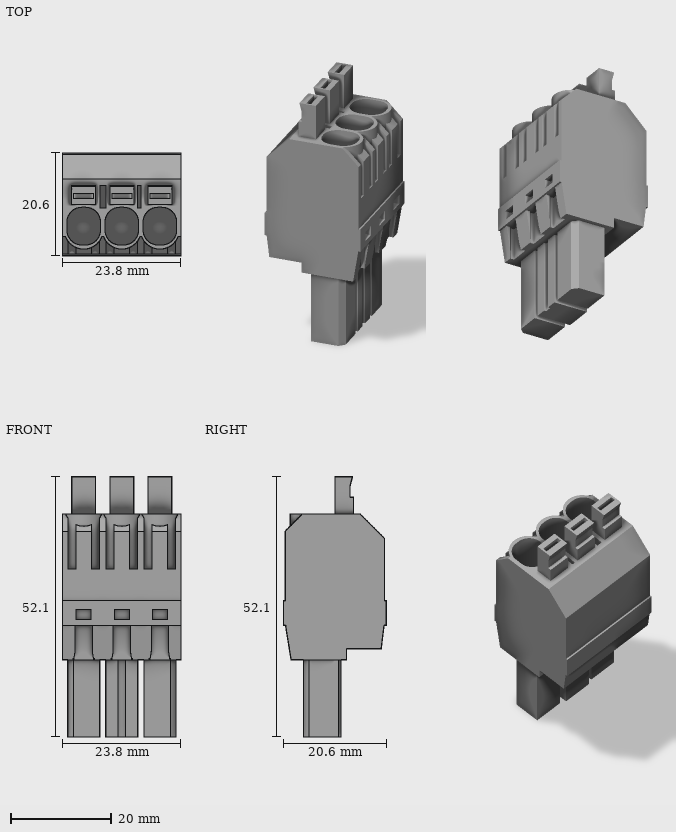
import cadquery as cq


pole_count = 3
pitch = 7.62
pole_xs = [(i - (pole_count - 1) / 2) * pitch for i in range(pole_count)]

prong_length = 15.45
rear_step_z = 17.65
band_bottom_z = 22.35
band_top_z = 27.3
housing_top_z = 44.67
lever_top_z = 52.11

housing_width = 23.76
band_half_depth = 10.3
body_half_depth = 9.95
skirt_top_half_depth = 9.87
skirt_front_y = -8.75
skirt_rear_y = 9.3
rear_step_y = 2.37
front_chamfer = 3.5
rear_chamfer = 4.93

entry_y = -4.35
entry_width = 6.73
entry_length = 7.55
entry_corner_radius = 3.0
entry_depth = 15.0
collar_radius = 3.89
collar_y = -5.06
flute_bottom_z = 33.65
flute_outer_half = 3.13
flute_inner_half = 1.53

window_width = 3.0
window_height = 2.0
window_depth = 1.4
window_center_z = 24.5

recess_floor_y = -7.85
recess_half_width = 1.72
recess_mouth_rear_y = -9.03
recess_undercut = 0.45

top_slot_front_y = -0.75
top_slot_rear_y = 3.75
top_slot_depth = 3.0
left_slot_x = (-4.37, -3.17)
right_slot_x = (3.17, 3.87)

prong_width = 6.45
prong_front_y = -6.3
outer_prong_rear_y = 0.75
middle_prong_rear_y = 1.27
prong_chamfer = 1.15
groove_width = 1.5
groove_depth = 0.5

lever_width = 4.8
lever_front_y = 0.0
lever_rear_y = 3.75
lever_tip_rear_y = 3.57
lever_neck_y = 3.05
lever_notch_bottom_z = 48.0
lever_neck_top_z = 50.15
driver_slot_width = 4.0
driver_slot_thickness = 1.0
driver_slot_y = 1.72
driver_slot_depth = 1.5


def box(x0, x1, y0, y1, z0, z1):
    """Box between two opposite corners."""
    return cq.Workplane("XY").box(x1 - x0, y1 - y0, z1 - z0, centered=False).translate((x0, y0, z0))


def make_shell():
    """Housing side outline extruded over the full width."""
    outline = [
        (skirt_front_y, prong_length),
        (-skirt_top_half_depth, band_bottom_z),
        (-band_half_depth, band_bottom_z),
        (-band_half_depth, band_top_z),
        (-body_half_depth, band_top_z),
        (-body_half_depth, housing_top_z - front_chamfer),
        (-body_half_depth + front_chamfer, housing_top_z),
        (body_half_depth - rear_chamfer, housing_top_z),
        (body_half_depth, housing_top_z - rear_chamfer),
        (body_half_depth, band_top_z),
        (band_half_depth, band_top_z),
        (band_half_depth, band_bottom_z),
        (skirt_top_half_depth, band_bottom_z),
        (skirt_rear_y, rear_step_z),
        (rear_step_y, rear_step_z),
        (rear_step_y, prong_length),
    ]
    return cq.Workplane("YZ").polyline(outline).close().extrude(housing_width / 2, both=True)


def make_collar(x):
    """Round wall around a wire entry, standing proud of the front chamfer."""
    height = housing_top_z - flute_bottom_z
    return (
        cq.Workplane("XY", origin=(x, collar_y, flute_bottom_z))
        .circle(collar_radius)
        .extrude(height)
    )


def make_flutes(x):
    """Pair of vertical flutes beside the middle rib, reaching back into the collar's place."""
    left = box(
        x - flute_outer_half,
        x - flute_inner_half,
        -body_half_depth,
        collar_y,
        flute_bottom_z,
        housing_top_z,
    )
    return left.union(left.mirror("YZ", (x, 0, 0)))


def make_entry(x):
    """Blind rounded wire hole."""
    return (
        cq.Workplane("XY", origin=(x, entry_y, housing_top_z - entry_depth))
        .rect(entry_width, entry_length)
        .extrude(entry_depth)
        .edges("|Z")
        .fillet(entry_corner_radius)
    )


def make_window(x):
    """Rectangular test pocket in the front of the band."""
    return box(
        x - window_width / 2,
        x + window_width / 2,
        -band_half_depth,
        -band_half_depth + window_depth,
        window_center_z - window_height / 2,
        window_center_z + window_height / 2,
    )


def make_skirt_recess(x):
    """Upright flat-floored recess in the skirt, undercut at 45 degrees behind a narrower mouth."""
    inner_half = recess_half_width + recess_undercut
    undercut_y = recess_mouth_rear_y + recess_undercut
    outline = [
        (-recess_half_width, -band_half_depth),
        (recess_half_width, -band_half_depth),
        (recess_half_width, recess_mouth_rear_y),
        (inner_half, undercut_y),
        (inner_half, recess_floor_y),
        (-inner_half, recess_floor_y),
        (-inner_half, undercut_y),
        (-recess_half_width, recess_mouth_rear_y),
    ]
    return (
        cq.Workplane("XY", origin=(x, 0, prong_length))
        .polyline(outline)
        .close()
        .extrude(band_bottom_z - prong_length)
    )


def make_prong(x):
    """Plug prong: outer ones have a chamfered outer corner, the middle one a front groove."""
    is_middle = x == 0
    rear_y = middle_prong_rear_y if is_middle else outer_prong_rear_y
    prong = box(x - prong_width / 2, x + prong_width / 2, prong_front_y, rear_y, 0, prong_length)
    if is_middle:
        groove = box(
            x - groove_width / 2,
            x + groove_width / 2,
            prong_front_y,
            prong_front_y + groove_depth,
            0,
            prong_length,
        )
        return prong.cut(groove)
    outer_side = "<X" if x < 0 else ">X"
    return prong.faces(outer_side).edges("|Z and <Y").chamfer(prong_chamfer)


def make_top_slot(x_range):
    """Narrow slot in the top face between two levers."""
    return box(
        *x_range,
        top_slot_front_y,
        top_slot_rear_y,
        housing_top_z - top_slot_depth,
        housing_top_z,
    )


def make_housing():
    housing = make_shell()
    for x in pole_xs:
        housing = housing.cut(make_flutes(x))
        housing = housing.union(make_collar(x))
    for x in pole_xs:
        housing = housing.cut(make_entry(x))
        housing = housing.cut(make_window(x))
        housing = housing.cut(make_skirt_recess(x))
        housing = housing.union(make_prong(x))
    for x_range in (left_slot_x, right_slot_x):
        housing = housing.cut(make_top_slot(x_range))
    return housing


def make_lever(x):
    """Release lever standing on the housing, notched at the rear, with a driver slot on top."""
    outline = [
        (lever_front_y, housing_top_z),
        (lever_rear_y, housing_top_z),
        (lever_rear_y, lever_notch_bottom_z),
        (lever_neck_y, lever_notch_bottom_z),
        (lever_neck_y, lever_neck_top_z),
        (lever_tip_rear_y, lever_top_z),
        (lever_front_y, lever_top_z),
    ]
    body = (
        cq.Workplane("YZ", origin=(x, 0, 0))
        .polyline(outline)
        .close()
        .extrude(lever_width / 2, both=True)
    )
    driver_slot = (
        cq.Workplane("XY", origin=(x, driver_slot_y, lever_top_z - driver_slot_depth))
        .rect(driver_slot_width, driver_slot_thickness)
        .extrude(driver_slot_depth)
    )
    return body.cut(driver_slot)


housing = make_housing()
levers = [make_lever(x) for x in pole_xs]

result = cq.Compound.makeCompound([housing.val(), *[lever.val() for lever in levers]])